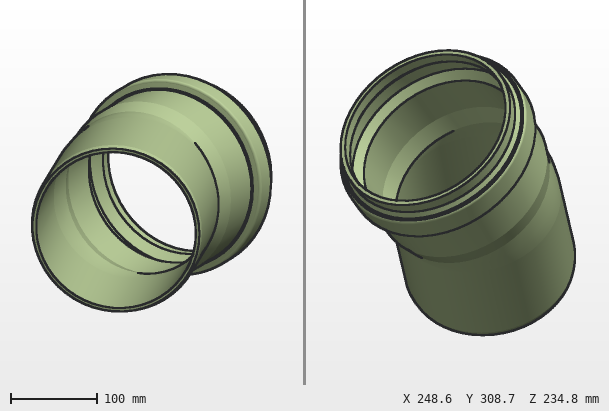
import cadquery as cq
import math

bend_angle = 15
bend_radius = 91.3

lip_radius = 213.5 / 2
body_radius = 212.5 / 2
bead_radius = 234.8 / 2
spigot_radius = 200.3 / 2
lip_bore_radius = 201.8 / 2
body_bore_radius = 201.5 / 2
groove_radius = 223.0 / 2
spigot_bore_radius = 187.5 / 2

lip_end = 15.0
flare_end = 21.3
bead_start = 22.2
bead_end = 53.0
foot_start = 54.5
foot_end = 56.0
reducer_start = 113.0
reducer_end = 135.5
flare_radius = 111.7
foot_radius = 107.7
bead_round = 3.5
bead_neck_radius = bead_radius - bead_round
wall = bead_radius - groove_radius

spigot_length = 128.5
tip_length = 7.5
tip_taper = 15
tip_radius = spigot_radius - tip_length * math.tan(math.radians(tip_taper))


def socket_outside():
    """Solid socket envelope: lip, sealing-ring bead, body and reducer."""
    round_offset = bead_round * math.sqrt(0.5)
    profile = (
        cq.Workplane("XY")
        .lineTo(lip_radius, 0)
        .lineTo(lip_radius, -lip_end)
        .lineTo(flare_radius, -flare_end)
        .lineTo(bead_neck_radius, -bead_start)
        .threePointArc(
            (bead_neck_radius + round_offset, -bead_start - bead_round + round_offset),
            (bead_radius, -bead_start - bead_round),
        )
        .lineTo(bead_radius, -bead_end + bead_round)
        .threePointArc(
            (bead_neck_radius + round_offset, -bead_end + bead_round - round_offset),
            (bead_neck_radius, -bead_end),
        )
        .lineTo(foot_radius, -foot_start)
        .lineTo(body_radius, -foot_end)
        .lineTo(body_radius, -reducer_start)
        .lineTo(spigot_radius, -reducer_end)
        .lineTo(0, -reducer_end)
        .close()
    )
    return profile.revolve(360, (0, 0), (0, 1))


def socket_bore():
    """Socket cavity with the groove for the sealing ring under the bead."""
    groove_start = bead_start + wall
    groove_end = bead_end - wall
    profile = (
        cq.Workplane("XY")
        .lineTo(lip_bore_radius, 0)
        .lineTo(lip_bore_radius, -lip_end)
        .lineTo(groove_radius, -groove_start)
        .lineTo(groove_radius, -groove_end)
        .lineTo(body_bore_radius, -foot_end)
        .lineTo(body_bore_radius, -reducer_start)
        .lineTo(spigot_bore_radius, -reducer_end)
        .lineTo(0, -reducer_end)
        .close()
    )
    return profile.revolve(360, (0, 0), (0, 1))


def bend(radius):
    """Disc swept about the pivot line; the part of it beyond the pivot is cut off."""
    half_chord = math.sqrt(radius**2 - bend_radius**2)
    section = (
        cq.Workplane("XZ", origin=(0, -reducer_end, 0))
        .moveTo(bend_radius, half_chord)
        .threePointArc((-radius, 0), (bend_radius, -half_chord))
        .close()
    )
    return section.revolve(bend_angle, (bend_radius, -3), (bend_radius, 3))


def along_spigot(solid):
    """Turn a solid lying along -Y below the reducer about the pivot line."""
    pivot = (bend_radius, -reducer_end)
    return solid.rotate((*pivot, 0), (*pivot, 1), bend_angle)


def spigot_outside():
    """Straight spigot with its tapered tip."""
    end = -reducer_end - spigot_length
    profile = (
        cq.Workplane("XY")
        .moveTo(0, -reducer_end)
        .lineTo(spigot_radius, -reducer_end)
        .lineTo(spigot_radius, end + tip_length)
        .lineTo(tip_radius, end)
        .lineTo(0, end)
        .close()
    )
    return along_spigot(profile.revolve(360, (0, 0), (0, 1)))


def spigot_bore():
    """Straight bore through the spigot."""
    bore = (
        cq.Workplane("XZ", origin=(0, -reducer_end, 0))
        .circle(spigot_bore_radius)
        .extrude(spigot_length)
    )
    return along_spigot(bore)


outside = socket_outside().union(bend(spigot_radius)).union(spigot_outside())
result = outside.cut(socket_bore()).cut(bend(spigot_bore_radius)).cut(spigot_bore())